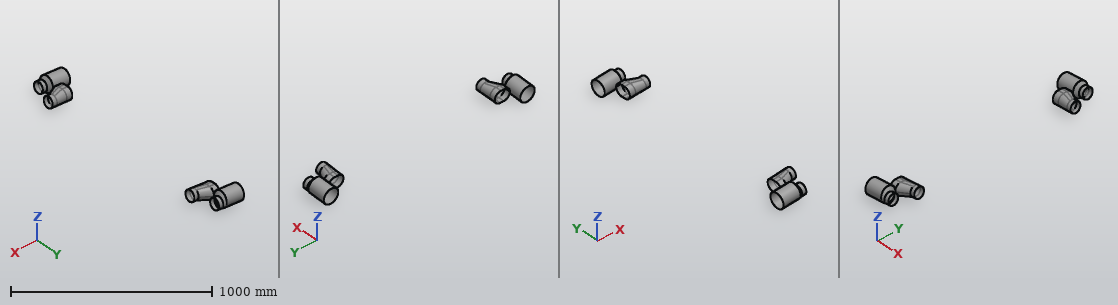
import cadquery as cq

tilt = 4.2
wall = 2.1

inlet_diameter = 99.0
outlet_diameter = 69.0
round_inlet_end = 115.0
round_outlet_start = 131.0
round_outlet_end = 160.0
inlet_y = 706 - inlet_diameter / 2
outlet_shift = 8.0
round_outlet_y = inlet_y + outlet_shift
outlet_drop = 8.0

oblong_height = 79.0
oblong_flat = 24.0
oblong_width = oblong_height + oblong_flat
oblong_start = 75.0
oblong_end = 113.0
oblong_outlet_start = 181.0
oblong_outlet_end = 209.0
seam_overlap = 0.7
oblong_y = inlet_y - inlet_diameter / 2 - oblong_width / 2 + seam_overlap
oblong_outlet_y = 535.0

inlet_x = -105.0



def section_plane(along, y, drop):
    """Plane across the untilted duct axis, with local X along Y and local Y along Z."""
    return cq.Workplane(cq.Plane((along, y, -drop), xDir=(0, 1, 0), normal=(1, 0, 0)))


def round_section(along, y, drop, diameter, inset):
    return section_plane(along, y, drop).circle(diameter / 2 - inset).wires().val()


def oblong_section(along, inset):
    """Obround made of two straight sides and two half circles."""
    half_flat = oblong_flat / 2
    radius = oblong_height / 2 - inset
    outline = (
        section_plane(along, oblong_y, outlet_drop)
        .moveTo(-half_flat, -radius)
        .lineTo(half_flat, -radius)
        .threePointArc((half_flat + radius, 0), (half_flat, radius))
        .lineTo(-half_flat, radius)
        .threePointArc((-half_flat - radius, 0), (-half_flat, -radius))
        .close()
    )
    return outline.wires().val()


def join_sections(sections):
    """Solid running straight from each section to the next."""
    stretches = [cq.Solid.makeLoft(list(pair), True) for pair in zip(sections, sections[1:])]
    return cq.Workplane(stretches[0].fuse(*stretches[1:]))


def round_form(inset):
    return join_sections([
        round_section(0, inlet_y, 0, inlet_diameter, inset),
        round_section(round_inlet_end, inlet_y, 0, inlet_diameter, inset),
        round_section(round_outlet_start, round_outlet_y, outlet_drop, outlet_diameter, inset),
        round_section(round_outlet_end, round_outlet_y, outlet_drop, outlet_diameter, inset),
    ])


def oblong_form(inset):
    return join_sections([
        oblong_section(oblong_start, inset),
        oblong_section(oblong_end, inset),
        round_section(oblong_outlet_start, oblong_outlet_y, outlet_drop, outlet_diameter, inset),
        round_section(oblong_outlet_end, oblong_outlet_y, outlet_drop, outlet_diameter, inset),
    ])


def make_duct(side):
    """One complete duct; side is 1 for +Y and -1 for -Y."""
    outside = round_form(0).union(oblong_form(0))
    duct = outside.cut(round_form(wall)).cut(oblong_form(wall))
    duct = duct.rotate((0, 0, 0), (0, 1, 0), -tilt).translate((inlet_x, 0, 0))
    return duct if side > 0 else duct.mirror("XZ")


ducts = [make_duct(side).val() for side in (-1, 1)]
result = cq.Compound.makeCompound([solid for duct in ducts for solid in duct.Solids()])